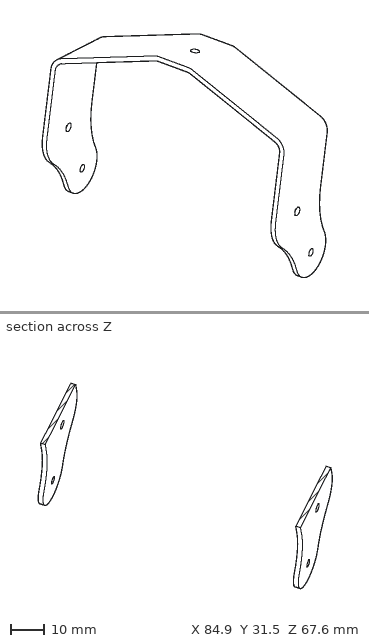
import cadquery as cq
import math

span = 84.9
strip_width = 24.0
strip_height = 39.0
sheet_thickness = 1.6
tilt_angle = 11.5

bend_outer_radius = 4.75
bend_inner_radius = bend_outer_radius - sheet_thickness
crown_flat_width = 10.6
roof_angle = math.radians(20.0)

foot_y = 11.0
foot_z = -17.0
foot_radius = 8.1
waist_radius = 28.0
knee_radius = strip_width / 2

upper_hole_diameter = 2.7
lower_hole_diameter = 2.4
crown_hole_diameter = 2.7

leg_bottom = foot_z - 2 * foot_radius
sheet_depth = 4 * strip_width


def toward(start, end, distance):
    """Point at a given distance from start in the direction of end."""
    ratio = distance / math.dist(start, end)
    return (start[0] + ratio * (end[0] - start[0]), start[1] + ratio * (end[1] - start[1]))


def arc_middle(center, start, end, radius):
    """Point halfway round the shorter arc between two points of a circle."""
    chord_middle = ((start[0] + end[0]) / 2, (start[1] + end[1]) / 2)
    return toward(center, chord_middle, radius)


def bent_solid(inset, bend_radius):
    """Solid under the bent sheet's outer face, shrunk by inset, with rounded bends."""
    half_span = span / 2 - inset
    crown_z = strip_height - inset
    outer_corner_x = crown_flat_width / 2 + bend_outer_radius * math.tan(roof_angle / 2)
    crown_x = outer_corner_x - inset * math.tan(roof_angle / 2)
    shoulder_z = crown_z - (half_span - crown_x) * math.tan(roof_angle)
    corners = [
        (-half_span, leg_bottom),
        (-half_span, shoulder_z),
        (-crown_x, crown_z),
        (crown_x, crown_z),
        (half_span, shoulder_z),
        (half_span, leg_bottom),
    ]
    block = cq.Workplane("XZ").polyline(corners).close().extrude(sheet_depth / 2, both=True)
    bend_zone = cq.selectors.BoxSelector(
        (-span, -sheet_depth, 0),
        (span, sheet_depth, 2 * strip_height),
    )
    return block.edges("|Y").edges(bend_zone).fillet(bend_radius)


def side_outline():
    """Leg silhouette in the YZ plane, extruded across the whole span."""
    half_width = strip_width / 2
    foot = (foot_y, foot_z)
    knee = (0.0, 0.0)

    rear_center_y = half_width + waist_radius
    rear_rise = math.sqrt((foot_radius + waist_radius) ** 2 - (rear_center_y - foot_y) ** 2)
    rear_center = (rear_center_y, foot_z + rear_rise)
    rear_start = (half_width, rear_center[1])
    rear_end = toward(foot, rear_center, foot_radius)
    rear_middle = arc_middle(rear_center, rear_start, rear_end, waist_radius)

    foot_distance = math.dist(knee, foot)
    knee_reach = knee_radius + waist_radius
    foot_reach = foot_radius + waist_radius
    along = (knee_reach ** 2 - foot_reach ** 2 + foot_distance ** 2) / (2 * foot_distance)
    across = math.sqrt(knee_reach ** 2 - along ** 2)
    axis_y = foot_y / foot_distance
    axis_z = foot_z / foot_distance
    front_center = (along * axis_y + across * axis_z, along * axis_z - across * axis_y)
    front_start = toward(foot, front_center, foot_radius)
    front_end = toward(knee, front_center, knee_radius)
    front_middle = arc_middle(front_center, front_start, front_end, waist_radius)

    foot_bottom = (foot_y + foot_radius * axis_y, foot_z + foot_radius * axis_z)
    knee_start = (-half_width, 0.0)
    knee_middle = arc_middle(knee, front_end, knee_start, knee_radius)

    return (
        cq.Workplane("YZ")
        .moveTo(-half_width, strip_height)
        .lineTo(half_width, strip_height)
        .lineTo(*rear_start)
        .threePointArc(rear_middle, rear_end)
        .threePointArc(foot_bottom, front_start)
        .threePointArc(front_middle, front_end)
        .threePointArc(knee_middle, knee_start)
        .close()
        .extrude(span, both=True)
    )


def leg_hole(y, z, diameter):
    """Cutter for a hole through both legs."""
    return cq.Workplane("YZ").center(y, z).circle(diameter / 2).extrude(span, both=True)


sheet = bent_solid(0.0, bend_outer_radius).cut(bent_solid(sheet_thickness, bend_inner_radius))
bracket = sheet.intersect(side_outline())

bracket = bracket.cut(leg_hole(0.0, 0.0, upper_hole_diameter))
bracket = bracket.cut(leg_hole(foot_y, foot_z, lower_hole_diameter))
crown_hole = cq.Workplane("XY").circle(crown_hole_diameter / 2).extrude(strip_height)
bracket = bracket.cut(crown_hole)

result = bracket.rotate((0, 0, 0), (1, 0, 0), -tilt_angle)